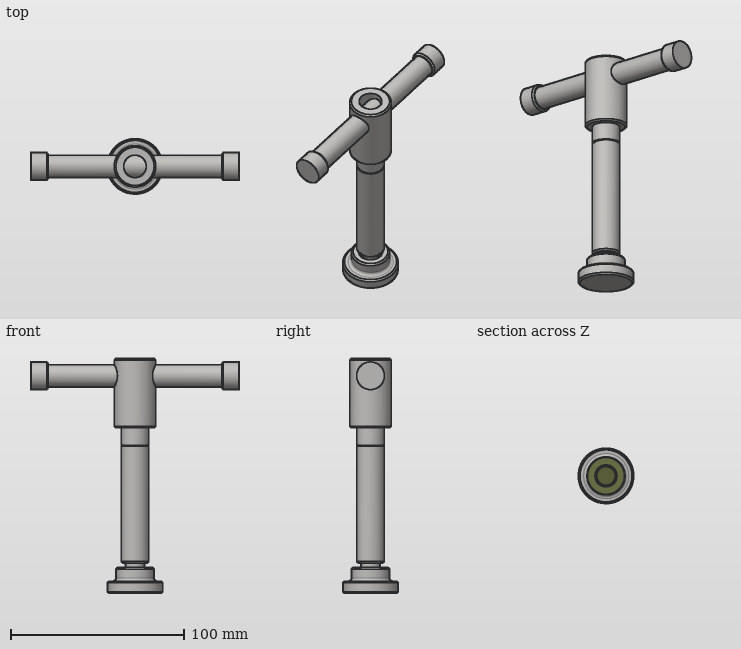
import cadquery as cq

pad_height = 15.0
neck_length = 2.4
thread_length = 68.0
shank_length = 10.0
head_height = 40.0

pad_diameter = 32.0
pad_hub_diameter = 22.0
pad_flange_height = 7.0
pad_fillet = 2.0
pad_bore_depth = 8.0
pad_countersink_diameter = 14.0

neck_diameter = 11.0
thread_diameter = 16.0
head_diameter = 24.0
thread_top_chamfer_height = 0.6
thread_top_chamfer_width = 1.0

bar_diameter = 13.0
handle_length = 120.0
knob_diameter = 16.0
knob_length = 10.0
knob_chamfer = 1.0
bar_depth = 10.0

edge_chamfer = 1.0

thread_bottom = pad_height + neck_length
thread_top = thread_bottom + thread_length
head_bottom = thread_top + shank_length
head_top = head_bottom + head_height
bar_height = head_top - bar_depth
bore_floor = pad_height - pad_bore_depth
countersink_depth = (pad_countersink_diameter - neck_diameter) / 2


def cylinder(diameter, bottom, height):
    """Upright cylinder on the Z axis."""
    return cq.Workplane("XY").workplane(offset=bottom).circle(diameter / 2).extrude(height)


def bar_along_x(diameter, start, length):
    """Cylinder on the handle axis, running along +X from start."""
    plane = cq.Workplane("YZ", origin=(start, 0, bar_height))
    return plane.circle(diameter / 2).extrude(length)


def make_pad():
    """Flanged foot whose filleted hub is bored and countersunk for the spindle neck."""
    flange = cylinder(pad_diameter, 0, pad_flange_height).edges().chamfer(edge_chamfer)
    hub = cylinder(pad_hub_diameter, pad_flange_height, pad_height - pad_flange_height)
    hub = hub.faces(">Z").edges().chamfer(edge_chamfer)
    flange_top = cq.selectors.NearestToPointSelector((pad_hub_diameter / 2 + pad_fillet, 0, pad_flange_height))
    smallest_circle = cq.selectors.RadiusNthSelector(0)
    pad = flange.union(hub).faces(flange_top).edges(smallest_circle).fillet(pad_fillet)
    pad = pad.cut(cylinder(neck_diameter, bore_floor, pad_bore_depth))
    return pad.faces(">Z").edges(smallest_circle).chamfer(countersink_depth)


def make_spindle():
    """Neck, threaded shaft, plain shank and head, bored for the handle."""
    neck = cylinder(neck_diameter, bore_floor, thread_bottom - bore_floor)
    shaft = cylinder(thread_diameter, thread_bottom, thread_length)
    shaft = shaft.faces("<Z").edges().chamfer(edge_chamfer)
    shaft = shaft.faces(">Z").edges().chamfer(thread_top_chamfer_height, thread_top_chamfer_width)
    shank = cylinder(thread_diameter, thread_top, shank_length)
    head = cylinder(head_diameter, head_bottom, head_height).edges().chamfer(edge_chamfer)
    top_bore = cylinder(bar_diameter, bar_height, bar_depth)
    cross_bore = bar_along_x(bar_diameter, -head_diameter / 2, head_diameter)
    spindle = neck.union(shaft).union(shank).union(head)
    return spindle.cut(top_bore).cut(cross_bore)


def make_handle():
    """Sliding bar with a knob at each end."""
    half_length = handle_length / 2
    handle = bar_along_x(bar_diameter, -half_length, handle_length)
    left_knob = bar_along_x(knob_diameter, -half_length, knob_length)
    left_knob = left_knob.faces(">X").edges().chamfer(knob_chamfer)
    right_knob = left_knob.mirror("YZ")
    return handle.union(left_knob).union(right_knob)


pad = make_pad()
spindle = make_spindle()
handle = make_handle()

result = cq.Compound.makeCompound([pad.val(), spindle.val(), handle.val()])